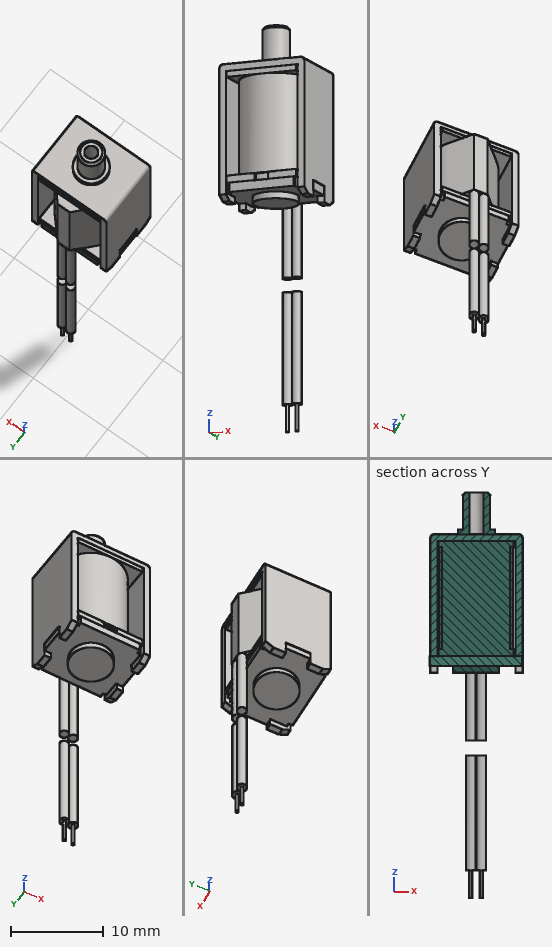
import cadquery as cq
import math


frame_width = 10.0
frame_depth = 8.0
frame_height = 15.0
sheet = 0.8
bend_radius = 0.5
leg_bevel_run = 1.0
leg_bevel_rise = 0.55
inner_width = frame_width - 2 * sheet

inner_shift = -0.05

flange_width = 8.15
top_flange = 0.65
bottom_flange = 0.8
hub_radius = 3.7
coil_radius = 4.0
coil_height = 10.95
flange_notch_width = 1.6

cover_back = 5.06
cover_half_width = 0.8

plate_thickness = 1.05
plate_shoulder_width = 8.3
plate_end_width = 7.5
plate_end_length = 0.5
tab_width = 3.0
plate_span = frame_width

nozzle_radius = 1.5
nozzle_length = 4.0
nozzle_chamfer = 0.3
bore_radius = 0.75
collar_radius = 2.0
collar_height = 0.5
plug_radius = 2.5

wire_pitch = 1.12
wire_radius = (cover_back - frame_depth / 2) / 2
wire_y = cover_back - wire_radius
upper_wire_length = 9.9
wire_break = 1.6
lower_wire_length = 12.4
conductor_radius = 0.175
conductor_length = 3.0

bobbin_top = -sheet
coil_top = bobbin_top - top_flange
coil_bottom = coil_top - coil_height
plate_top = coil_bottom - bottom_flange
plate_bottom = plate_top - plate_thickness
frame_bottom = -frame_height
upper_wire_end = coil_bottom - upper_wire_length
lower_wire_top = upper_wire_end - wire_break
conductor_top = lower_wire_top - lower_wire_length


def block(width, depth, bottom, top, x=0.0, y=0.0):
    """Upright box centred on (x, y) between two levels."""
    base = cq.Workplane("XY", origin=(x, y, bottom))
    return base.rect(width, depth).extrude(top - bottom)


def cylinder(radius, bottom, top, x=0.0, y=0.0):
    """Upright cylinder centred on (x, y) between two levels."""
    base = cq.Workplane("XY", origin=(x, y, bottom))
    return base.circle(radius).extrude(top - bottom)


def make_frame():
    """Bent sheet frame, open at front, back and bottom, with a tab notch in each leg."""
    half_depth = frame_depth / 2
    bevel_start = half_depth - leg_bevel_run
    bevel_top = frame_bottom + leg_bevel_rise
    side_outline = [
        (-half_depth, 0),
        (half_depth, 0),
        (half_depth, bevel_top),
        (bevel_start, frame_bottom),
        (-bevel_start, frame_bottom),
        (-half_depth, bevel_top),
    ]
    body = cq.Workplane("YZ").polyline(side_outline).close().extrude(frame_width / 2, both=True)
    body = body.edges("|Y and >Z").fillet(bend_radius)
    opening = block(inner_width, frame_depth, frame_bottom, -sheet)
    tab_notches = block(frame_width, tab_width, frame_bottom, plate_top)
    return body.cut(opening).cut(tab_notches)


def make_bobbin():
    """Hub with a rectangular flange at each end; the lower flange is notched at the front."""
    hub = cylinder(hub_radius, plate_top, bobbin_top, inner_shift)
    upper = block(flange_width, frame_depth, coil_top, bobbin_top, inner_shift)
    lower = block(flange_width, frame_depth, plate_top, coil_bottom, inner_shift)
    notch_depth = frame_depth / 2
    notch_y = -notch_depth / 2
    notch = block(flange_notch_width, notch_depth, plate_top, coil_bottom, inner_shift, notch_y)
    return lower.cut(notch).union(upper).union(hub)


def make_coil():
    """Winding with a wire cover whose sloping sides run tangent to the winding."""
    corner_distance = math.hypot(cover_half_width, cover_back)
    corner_angle = math.atan2(cover_back, cover_half_width)
    tangent_angle = corner_angle - math.acos(coil_radius / corner_distance)
    tangent_x = coil_radius * math.cos(tangent_angle)
    tangent_y = coil_radius * math.sin(tangent_angle)
    coil = (
        cq.Workplane("XY", origin=(inner_shift, 0, coil_bottom))
        .moveTo(-tangent_x, tangent_y)
        .lineTo(-cover_half_width, cover_back)
        .lineTo(cover_half_width, cover_back)
        .lineTo(tangent_x, tangent_y)
        .threePointArc((0, -coil_radius), (-tangent_x, tangent_y))
        .close()
        .extrude(coil_height)
    )
    return coil.cut(cylinder(hub_radius, coil_bottom, coil_top, inner_shift))


def make_end_plate():
    """Stepped plate closing the frame, with a tab through each leg."""
    shoulder_depth = frame_depth - 2 * plate_end_length
    ends = block(plate_end_width, frame_depth, plate_bottom, plate_top, inner_shift)
    shoulders = block(plate_shoulder_width, shoulder_depth, plate_bottom, plate_top, inner_shift)
    tabs = block(plate_span, tab_width, plate_bottom, plate_top, inner_shift)
    return ends.union(shoulders).union(tabs)


def make_nozzle():
    """Chamfered tube standing on a round collar, bored through."""
    nozzle_top = collar_height + nozzle_length
    tube = cylinder(nozzle_radius, 0, nozzle_top).faces(">Z").chamfer(nozzle_chamfer)
    collar = cylinder(collar_radius, 0, collar_height)
    return tube.union(collar).cut(cylinder(bore_radius, 0, nozzle_top))


def make_plug():
    """Round plug under the end plate, level with the frame legs."""
    return cylinder(plug_radius, frame_bottom, plate_bottom, inner_shift)


def make_upper_wire(x):
    """Insulated wire from the coil cover down to the break."""
    return cylinder(wire_radius, upper_wire_end, coil_bottom, x, wire_y)


def make_lower_wire(x):
    """Insulated wire below the break with its bare conductor."""
    insulation = cylinder(wire_radius, conductor_top, lower_wire_top, x, wire_y)
    conductor = cylinder(conductor_radius, conductor_top - conductor_length, conductor_top, x, wire_y)
    return insulation.union(conductor)


frame = make_frame()
bobbin = make_bobbin()
coil = make_coil()
end_plate = make_end_plate()
nozzle = make_nozzle()
plug = make_plug()

wires = []
for side in (-1, 1):
    wire_x = inner_shift + side * wire_pitch / 2
    wires.append(make_upper_wire(wire_x).val())
    wires.append(make_lower_wire(wire_x).val())

result = cq.Compound.makeCompound(
    [frame.val(), bobbin.val(), coil.val(), end_plate.val(), nozzle.val(), plug.val(), *wires]
)